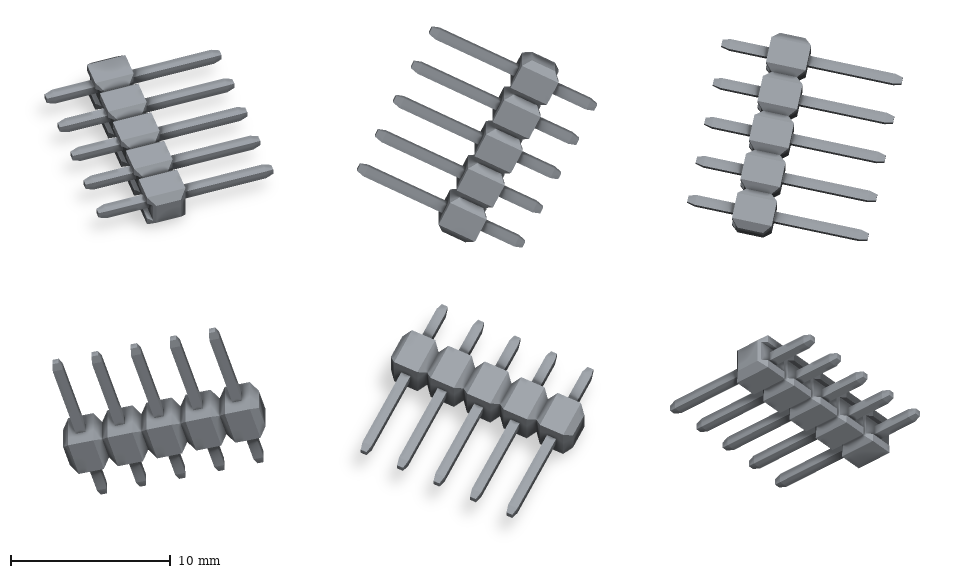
import cadquery as cq

pin_count = 5
row_length = 12.7
pitch = row_length / pin_count

block_depth = 2.54
block_height = 2.5
block_chamfer = 0.46

groove_height = 1.4
groove_depth = 0.3

pin_width = 0.64
tip_width = 0.41
tip_length = 0.51
front_pin_length = 3.0
overall_depth = 11.55

block_front_y = -block_depth / 2
pin_front_y = block_front_y - front_pin_length
pin_back_y = pin_front_y + overall_depth


def make_block():
    """One insulator block, with all edges of its two end faces chamfered."""
    block = cq.Workplane("XY").box(pitch, block_depth, block_height)
    return block.faces("<X or >X").edges().chamfer(block_chamfer)


def make_groove():
    """Cutter for the groove, running the full length of the row."""
    return (
        cq.Workplane("XY")
        .box(row_length, groove_depth, groove_height, centered=(True, False, True))
        .translate((0, block_front_y, 0))
    )


def tapered_profile():
    """Pin outline, symmetric about its axis, as (offset from the axis, position along Y)."""
    right_side = [
        (tip_width / 2, pin_front_y),
        (pin_width / 2, pin_front_y + tip_length),
        (pin_width / 2, pin_back_y - tip_length),
        (tip_width / 2, pin_back_y),
    ]
    left_side = [(-offset, y) for offset, y in reversed(right_side)]
    return right_side + left_side


def make_pin():
    """Square pin tapering on all four sides at both ends."""
    outline = tapered_profile()
    plan = cq.Workplane("XY").polyline(outline).close().extrude(pin_width / 2, both=True)
    side_outline = [(y, offset) for offset, y in outline]
    side = cq.Workplane("YZ").polyline(side_outline).close().extrude(pin_width / 2, both=True)
    return plan.intersect(side)


block = make_block()
pin = make_pin()
pin_positions = [(i - (pin_count - 1) / 2) * pitch for i in range(pin_count)]

housing = block.translate((pin_positions[0], 0, 0))
for x in pin_positions[1:]:
    housing = housing.union(block.translate((x, 0, 0)))

result = housing.cut(make_groove())
for x in pin_positions:
    result = result.union(pin.translate((x, 0, 0)))